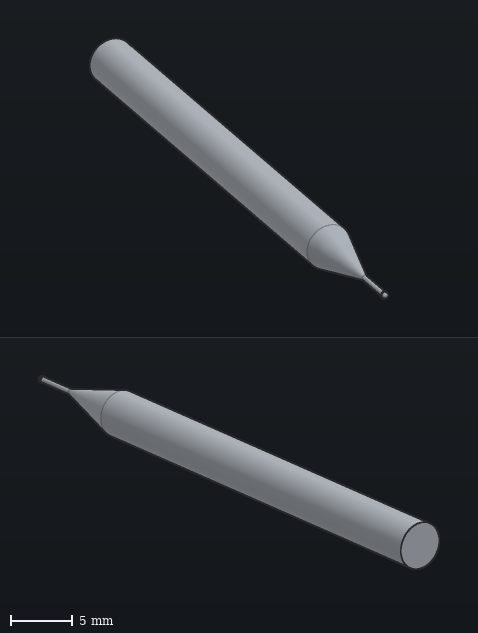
import cadquery as cq

overall_length = 50.0
shank_radius = 2.0
shank_length = 39.5
neck_start = 46.0
neck_radius = 0.25
ball_radius = 0.3
head_length = 0.4

tip_x = overall_length
ball_centre_x = tip_x - ball_radius
head_start = tip_x - head_length
ball_arc_offset = ball_radius * 0.5 ** 0.5

profile = (
    cq.Workplane("XY")
    .moveTo(0, 0)
    .lineTo(0, shank_radius)
    .lineTo(shank_length, shank_radius)
    .lineTo(neck_start, neck_radius)
    .lineTo(head_start, neck_radius)
    .lineTo(head_start, ball_radius)
    .lineTo(ball_centre_x, ball_radius)
    .threePointArc((ball_centre_x + ball_arc_offset, ball_arc_offset), (tip_x, 0))
    .close()
)

result = profile.revolve(360, (0, 0, 0), (1, 0, 0))